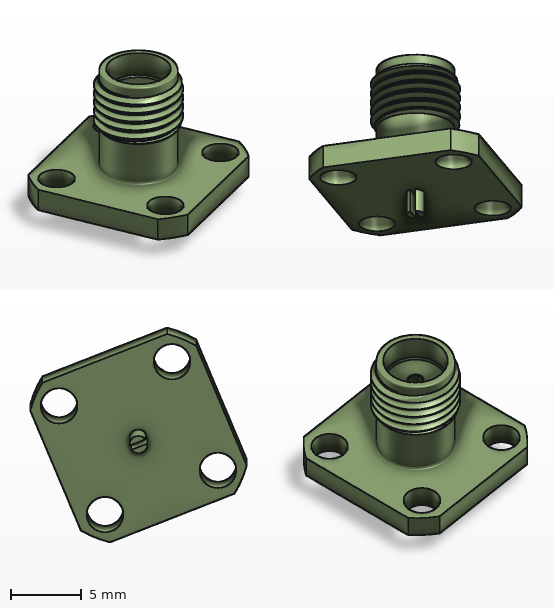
import cadquery as cq
import math

flange_side = 12.7
flange_thickness = 1.67
flange_corner_diameter = 15.88
mount_hole_diameter = 2.59
mount_hole_spacing = 8.64

barrel_diameter = 5.58
barrel_top = 9.53
barrel_rim_fillet = 0.13
barrel_base_fillet = 0.25
socket_diameter = 4.57
socket_floor_diameter = 4.32
socket_depth = 1.91

thread_diameter = 6.35
thread_pitch = 25.4 / 36
thread_tooth_width = 0.6
thread_crest_width = 0.06
thread_top = barrel_top - 0.75
thread_bottom = barrel_top - 4.58
thread_crest_depth = 1.356
thread_root_overlap = 0.04
envelope_clearance = 0.1

contact_boss_diameter = 1.19
contact_boss_height = 0.025
contact_bore_diameter = 0.94
contact_bore_depth = 1.9
pin_diameter = 1.27
pin_length = 1.67
pin_slot_width = 0.34

barrel_radius = barrel_diameter / 2
thread_radius = thread_diameter / 2
socket_floor = barrel_top - socket_depth


def cylinder(diameter, bottom, height):
    return cq.Workplane("XY", origin=(0, 0, bottom)).circle(diameter / 2).extrude(height)


def make_flange():
    square = cq.Workplane("XY").rect(flange_side, flange_side).extrude(flange_thickness)
    plate = square.intersect(cylinder(flange_corner_diameter, 0, flange_thickness))
    holes = (
        cq.Workplane("XY")
        .rect(mount_hole_spacing, mount_hole_spacing, forConstruction=True)
        .vertices()
        .circle(mount_hole_diameter / 2)
        .extrude(flange_thickness)
    )
    return plate.cut(holes)


def make_barrel():
    """Revolved barrel with a rounded rim and a concave fillet onto the flange."""
    fillet_center_radius = barrel_radius + barrel_base_fillet
    fillet_center_z = flange_thickness + barrel_base_fillet
    fillet_reach = barrel_base_fillet * math.sqrt(0.5)
    fillet_middle = (fillet_center_radius - fillet_reach, fillet_center_z - fillet_reach)
    profile = (
        cq.Workplane("XZ")
        .moveTo(0, 0)
        .lineTo(fillet_center_radius, 0)
        .lineTo(fillet_center_radius, flange_thickness)
        .threePointArc(fillet_middle, (barrel_radius, fillet_center_z))
        .lineTo(barrel_radius, barrel_top - barrel_rim_fillet)
        .tangentArcPoint((barrel_radius - barrel_rim_fillet, barrel_top), relative=False)
        .lineTo(0, barrel_top)
        .close()
    )
    return profile.revolve(360, (0, 0, 0), (0, 1, 0))


def make_thread():
    """Helical V tooth with a narrow flat crest, trimmed by 45-degree cones at both ends."""
    turns_below_crest = math.ceil((thread_top - thread_bottom) / thread_pitch) + 1
    turns_above_crest = 2
    turns = turns_below_crest + turns_above_crest
    start_z = barrel_top - thread_crest_depth - turns_below_crest * thread_pitch
    inner_radius = barrel_radius - thread_root_overlap
    tooth_height = thread_radius - barrel_radius
    half_crest = thread_crest_width / 2
    flank_slope = (thread_tooth_width / 2 - half_crest) / tooth_height
    half_width = thread_tooth_width / 2 + flank_slope * thread_root_overlap
    helix = cq.Wire.makeHelix(thread_pitch, turns * thread_pitch, barrel_radius)
    tooth = (
        cq.Workplane("XZ")
        .polyline([
            (inner_radius, -half_width),
            (thread_radius, -half_crest),
            (thread_radius, half_crest),
            (inner_radius, half_width),
        ])
        .close()
        .sweep(cq.Workplane(helix), isFrenet=True)
        .rotate((0, 0, 0), (0, 0, 1), 180)
        .translate((0, 0, start_z))
    )
    cone_height = thread_radius + envelope_clearance - barrel_radius
    envelope = (
        cq.Workplane("XZ")
        .polyline([
            (0, thread_bottom),
            (barrel_radius, thread_bottom),
            (barrel_radius + cone_height, thread_bottom + cone_height),
            (barrel_radius + cone_height, thread_top - cone_height),
            (barrel_radius, thread_top),
            (0, thread_top),
        ])
        .close()
        .revolve(360, (0, 0, 0), (0, 1, 0))
    )
    return tooth.intersect(envelope)


def make_socket():
    """Straight bore whose floor edge narrows at 45 degrees."""
    floor_chamfer = (socket_diameter - socket_floor_diameter) / 2
    bore = cylinder(socket_diameter, socket_floor, socket_depth)
    return bore.faces("<Z").chamfer(floor_chamfer)


def make_contact_boss():
    return cylinder(contact_boss_diameter, socket_floor, contact_boss_height)


def make_contact_bore():
    bore_bottom = socket_floor - contact_bore_depth
    return cylinder(contact_bore_diameter, bore_bottom, contact_bore_depth + contact_boss_height)


def make_pin():
    """Solder pin below the flange, split by a slot running along X."""
    pin = cylinder(pin_diameter, -pin_length, pin_length)
    slot = cq.Workplane("XY").rect(pin_diameter, pin_slot_width).extrude(-pin_length)
    return pin.cut(slot)


body = make_barrel().union(make_thread()).union(make_flange())
body = body.cut(make_socket()).union(make_contact_boss()).cut(make_contact_bore())
result = body.union(make_pin())